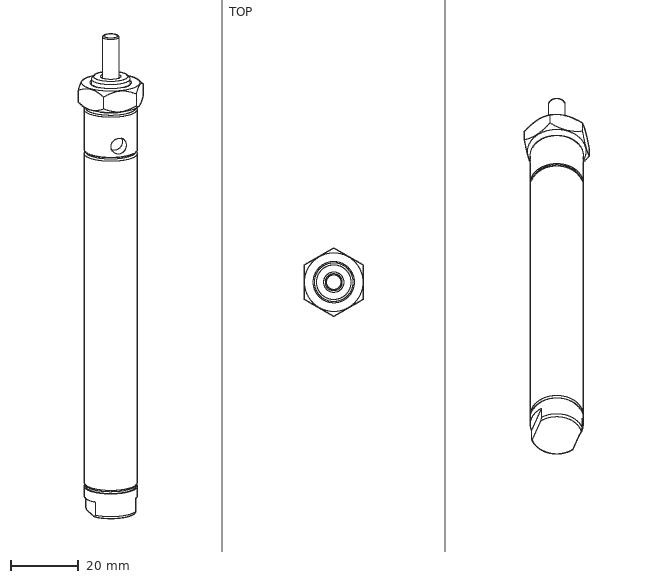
import cadquery as cq
import math

total_length = 146.81
rod_exposed = 12.5
neck_length = 9.75
front_cap_length = 12.95
rear_cap_length = 7.8
groove_floor_width = 0.55
groove_cone_width = 0.55

housing_diameter = 15.7
groove_depth = 0.45
shoulder_chamfer = 0.45
rear_chamfer_radial = 0.45
rear_chamfer_length = 0.8

thread_diameter = 11.4
neck_tip_diameter = 10.2
neck_tip_chamfer_length = 0.8
undercut_diameter = 10.6

flat_distance = 12.6
flat_length = 4.8

port_diameter = 4.8
port_depth = 4.0
port_below_shoulder = 9.5

rod_diameter = 5.0
rod_tip_chamfer = 0.35
rod_insertion = 20.0
bore_mouth_chamfer = 0.5

nut_across_flats = 17.53
nut_height = 6.6
nut_setback = 1.9
nut_face_diameter = 17.3
nut_chamfer_angle = 45.0
nut_bore_chamfer = 0.4

groove_width = groove_floor_width + groove_cone_width

neck_front_z = total_length - rod_exposed
shoulder_z = neck_front_z - neck_length
front_groove_z = shoulder_z - front_cap_length
rear_groove_z = rear_cap_length
nut_front_z = neck_front_z - nut_setback
nut_rear_z = nut_front_z - nut_height
rod_rear_z = neck_front_z - rod_insertion


def revolve_about_z(profile):
    """Turn a closed (radius, z) outline once around the Z axis."""
    return cq.Workplane("XZ").polyline(profile).close().revolve(360, (0, 0, 0), (0, 1, 0))


def make_housing_blank():
    """Revolve the end caps, the crimped tube and the threaded neck, with a blind bore for the rod."""
    outer = housing_diameter / 2
    groove = outer - groove_depth
    thread = thread_diameter / 2
    undercut = undercut_diameter / 2
    bore = rod_diameter / 2
    profile = [
        (0, 0),
        (outer - rear_chamfer_radial, 0),
        (outer, rear_chamfer_length),
        (outer, rear_groove_z),
        (groove, rear_groove_z),
        (groove, rear_groove_z + groove_floor_width),
        (outer, rear_groove_z + groove_width),
        (outer, front_groove_z - groove_width),
        (groove, front_groove_z - groove_floor_width),
        (groove, front_groove_z),
        (outer, front_groove_z),
        (outer, shoulder_z - shoulder_chamfer),
        (outer - shoulder_chamfer, shoulder_z),
        (undercut, shoulder_z),
        (undercut, nut_rear_z),
        (thread, nut_rear_z),
        (thread, neck_front_z - neck_tip_chamfer_length),
        (neck_tip_diameter / 2, neck_front_z),
        (bore + bore_mouth_chamfer, neck_front_z),
        (bore, neck_front_z - bore_mouth_chamfer),
        (bore, rod_rear_z),
        (0, rod_rear_z),
    ]
    return revolve_about_z(profile)


def cut_wrench_flats(housing):
    slab_depth = (housing_diameter - flat_distance) / 2
    for side in (-1, 1):
        slab = (
            cq.Workplane("XY")
            .center(0, side * (flat_distance + slab_depth) / 2)
            .rect(housing_diameter, slab_depth)
            .extrude(flat_length)
        )
        housing = housing.cut(slab)
    return housing


def cut_port(housing):
    port = (
        cq.Workplane("YZ")
        .workplane(offset=housing_diameter / 2 - port_depth)
        .center(0, shoulder_z - port_below_shoulder)
        .circle(port_diameter / 2)
        .extrude(port_depth)
    )
    return housing.cut(port)


def make_housing():
    return cut_port(cut_wrench_flats(make_housing_blank()))


def make_rod():
    return (
        cq.Workplane("XY")
        .workplane(offset=rod_rear_z)
        .circle(rod_diameter / 2)
        .extrude(rod_insertion + rod_exposed)
        .faces(">Z")
        .chamfer(rod_tip_chamfer)
    )


def make_nut():
    """Hexagon nut with corners on the Y axis; corners and bore are chamfered at both faces."""
    across_corners = nut_across_flats / math.cos(math.radians(30))
    hexagon = (
        cq.Workplane("XY")
        .workplane(offset=nut_rear_z)
        .transformed(rotate=(0, 0, 90))
        .polygon(6, across_corners)
        .extrude(nut_height)
    )
    face = nut_face_diameter / 2
    corner = across_corners / 2
    corner_drop = (corner - face) * math.tan(math.radians(nut_chamfer_angle))
    bore = thread_diameter / 2
    turned_envelope = revolve_about_z([
        (bore + nut_bore_chamfer, nut_rear_z),
        (face, nut_rear_z),
        (corner, nut_rear_z + corner_drop),
        (corner, nut_front_z - corner_drop),
        (face, nut_front_z),
        (bore + nut_bore_chamfer, nut_front_z),
        (bore, nut_front_z - nut_bore_chamfer),
        (bore, nut_rear_z + nut_bore_chamfer),
    ])
    return hexagon.intersect(turned_envelope)


housing = make_housing()
rod = make_rod()
nut = make_nut()

result = cq.Compound.makeCompound([housing.val(), rod.val(), nut.val()])